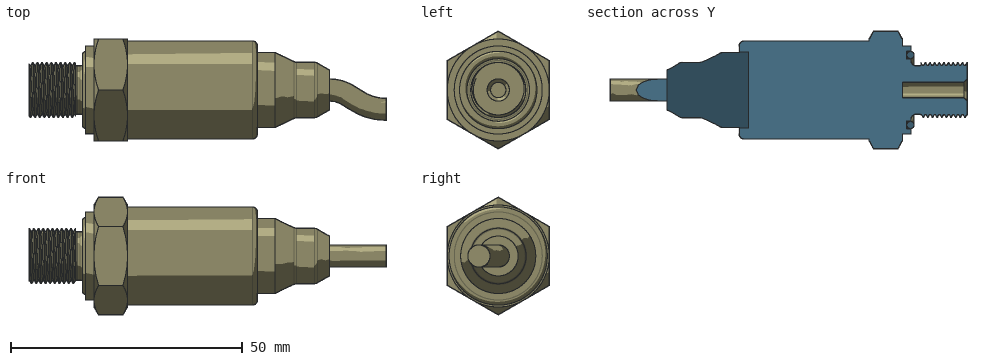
import cadquery as cq
import math


thread_pitch = 1.0
thread_crest_diameter = 11.88
thread_root_diameter = 10.74
thread_end = 10.0
thread_crest_flat = thread_pitch / 8
thread_root_flat = thread_pitch / 4
thread_start_angle = 85.0
neck_diameter = 10.5
neck_start = 10.25
neck_fillet_radius = 1.1

collar_face = 12.1
collar_diameter = 19.0
hex_start = 13.95
hex_end = 21.2
hex_across_flats = 22.0
hex_chamfer_angle = 30.0
sleeve_diameter = 21.2
sleeve_end = 49.2
sleeve_fillet_radius = 1.1

port_diameter = 3.3
port_mouth_diameter = 4.8
port_depth = hex_start

seal_inner_diameter = 13.5
seal_outer_diameter = 16.7
seal_section_diameter = (seal_outer_diameter - seal_inner_diameter) / 2
seal_centre = collar_face + 0.15
seal_groove_floor = seal_centre + seal_section_diameter / 2

boot_socket_depth = 2.0
boot_base_diameter = 16.2
boot_neck_diameter = 12.0
boot_base_end = 53.0
boot_neck_start = 57.35
boot_neck_end = 61.8
boot_end = 64.75
boot_tip_angle = 30.0
boot_root_fillet = 1.2
boot_shoulder_fillet = 1.3

cable_diameter = 4.8
cable_bend_middle = 70.2
cable_offset = 4.17
cable_end = 76.97


def turned(points):
    """Solid of revolution about X from (x, radius) outline points."""
    return cq.Workplane("XY").polyline(points).close().revolve(360, (0, 0, 0), (1, 0, 0))


def cylinder(start, end, diameter):
    return cq.Workplane("YZ", origin=(start, 0, 0)).circle(diameter / 2).extrude(end - start)


def seal_ring_body():
    centre_radius = (seal_outer_diameter + seal_inner_diameter) / 4
    section = cq.Workplane("XY").moveTo(seal_centre, centre_radius).circle(seal_section_diameter / 2)
    return section.revolve(360, (0, 0, 0), (1, 0, 0))


def seal_groove():
    """Square groove whose floor and side walls touch the sealing ring."""
    return turned([
        (collar_face, seal_inner_diameter / 2),
        (collar_face, seal_outer_diameter / 2),
        (seal_groove_floor, seal_outer_diameter / 2),
        (seal_groove_floor, seal_inner_diameter / 2),
    ])


def thread_ridge():
    """Right-handed helical ridge, trimmed flat at both ends of the thread."""
    root_radius = thread_root_diameter / 2
    crest_radius = thread_crest_diameter / 2
    overlap = 0.1
    half_root = (thread_pitch - thread_root_flat) / 2
    half_crest = thread_crest_flat / 2
    flank_slope = (half_root - half_crest) / (crest_radius - root_radius)
    half_foot = half_root + overlap * flank_slope
    foot_radius = root_radius - overlap

    length = thread_end + 2 * thread_pitch
    helix = cq.Wire.makeHelix(thread_pitch, length, root_radius)
    ridge = (
        cq.Workplane("XZ")
        .polyline([
            (foot_radius, -half_foot),
            (crest_radius, -half_crest),
            (crest_radius, half_crest),
            (foot_radius, half_foot),
        ])
        .close()
        .sweep(cq.Workplane(obj=helix), isFrenet=True)
    )
    ridge = ridge.rotate((0, 0, 0), (1, 1, 1), 120)
    ridge = ridge.rotate((0, 0, 0), (1, 0, 0), thread_start_angle).translate((-thread_pitch, 0, 0))
    return ridge.intersect(cylinder(0, thread_end, 2 * thread_crest_diameter))


def hexagon():
    """Hexagon with corners on +Z and -Z, its corners turned down at both ends."""
    corner_diameter = hex_across_flats / math.cos(math.pi / 6)
    corner_drop = (corner_diameter - hex_across_flats) / 2
    chamfer_length = corner_drop * math.tan(math.radians(hex_chamfer_angle))
    prism = (
        cq.Workplane("YZ", origin=(hex_start, 0, 0))
        .polygon(6, corner_diameter)
        .extrude(hex_end - hex_start)
        .rotate((0, 0, 0), (1, 0, 0), 90)
    )
    envelope = turned([
        (hex_start, 0),
        (hex_start, hex_across_flats / 2),
        (hex_start + chamfer_length, corner_diameter / 2),
        (hex_end - chamfer_length, corner_diameter / 2),
        (hex_end, hex_across_flats / 2),
        (hex_end, 0),
    ])
    return prism.intersect(envelope)


def stud_and_collar():
    root_radius = thread_root_diameter / 2
    neck_radius = neck_diameter / 2
    neck_end = collar_face - neck_fillet_radius
    return (
        cq.Workplane("XY")
        .lineTo(0, root_radius)
        .lineTo(thread_end, root_radius)
        .lineTo(neck_start, neck_radius)
        .lineTo(neck_end, neck_radius)
        .radiusArc((collar_face, neck_radius + neck_fillet_radius), -neck_fillet_radius)
        .lineTo(collar_face, collar_diameter / 2)
        .lineTo(hex_start, collar_diameter / 2)
        .lineTo(hex_start, 0)
        .close()
        .revolve(360, (0, 0, 0), (1, 0, 0))
    )


def port():
    mouth_depth = (port_mouth_diameter - port_diameter) / 2
    return turned([
        (0, 0),
        (0, port_mouth_diameter / 2),
        (mouth_depth, port_diameter / 2),
        (port_depth, port_diameter / 2),
        (port_depth, 0),
    ])


def housing_body():
    sleeve = cylinder(hex_end, sleeve_end, sleeve_diameter).faces(">X").edges().fillet(sleeve_fillet_radius)
    housing = stud_and_collar().union(hexagon()).union(sleeve).union(thread_ridge())
    boot_socket = cylinder(sleeve_end - boot_socket_depth, sleeve_end, boot_base_diameter)
    return housing.cut(port()).cut(seal_groove()).cut(boot_socket).solids()


def boot_body():
    base_radius = boot_base_diameter / 2
    neck_radius = boot_neck_diameter / 2
    tip_radius = neck_radius - (boot_end - boot_neck_end) * math.tan(math.radians(boot_tip_angle))
    boot = turned([
        (sleeve_end - boot_socket_depth, 0),
        (sleeve_end - boot_socket_depth, base_radius),
        (boot_base_end, base_radius),
        (boot_neck_start, neck_radius),
        (boot_neck_end, neck_radius),
        (boot_end, tip_radius),
        (boot_end, 0),
    ])
    neck_edges = boot.edges(cq.selectors.RadiusNthSelector(1))
    boot = neck_edges.edges("<X").fillet(boot_root_fillet)
    return boot.edges(
        cq.selectors.BoxSelector(
            (boot_neck_end - 0.1, -base_radius, -base_radius),
            (boot_neck_end + 0.1, base_radius, base_radius),
            boundingbox=True,
        )
    ).fillet(boot_shoulder_fillet).solids()


def cable_body():
    """Round cable leaving the boot along X and stepping sideways to -Y in one smooth S-bend."""
    path = cq.Workplane("XY").spline(
        [(boot_end, 0), (cable_bend_middle, -cable_offset / 2), (cable_end, -cable_offset)],
        tangents=[(1, 0), (1, 0)],
    )
    return cq.Workplane("YZ", origin=(boot_end, 0, 0)).circle(cable_diameter / 2).sweep(path)


housing = housing_body()
seal_ring = seal_ring_body()
boot = boot_body()
cable = cable_body()

result = cq.Compound.makeCompound([housing.val(), seal_ring.val(), boot.val(), cable.val()])